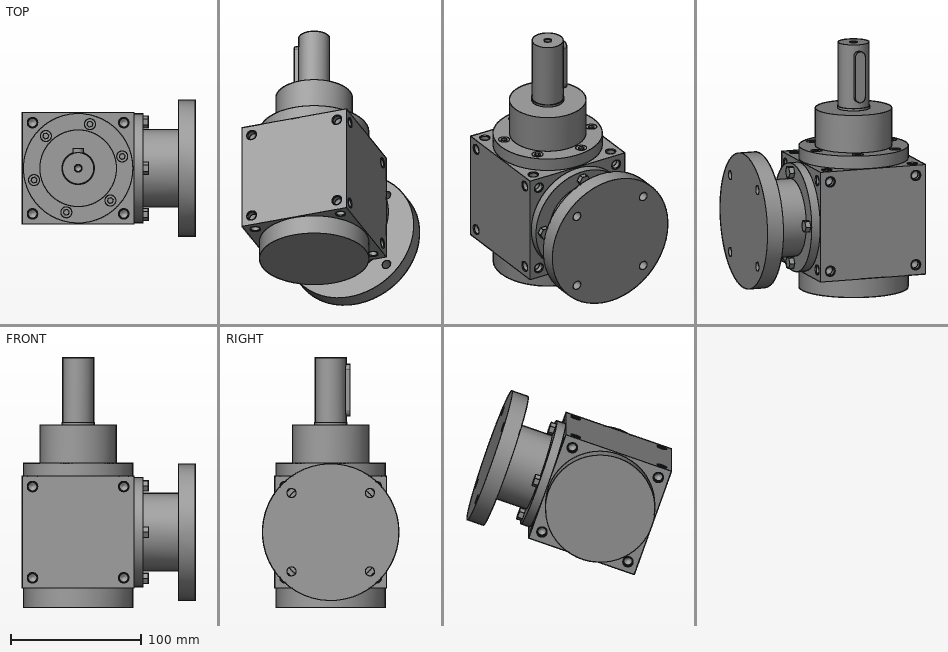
import cadquery as cq
import math


cube_side = 86.0
hole_pitch = 70.0
tapped_hole_diameter = 6.7
tapped_hole_depth = 4.6
countersink_diameter = 8.0
drill_point_angle = 118

cover_diameter = 84.0
bottom_cover_height = 15.0
top_cover_height = 10.0
top_boss_diameter = 59.0
top_boss_height = 29.4

shoulder_diameter = 25
shoulder_height = 1.7
shaft_diameter = 24.0
shaft_length = 50
centre_hole_diameter = 5.0
centre_hole_countersink = 6.0
centre_hole_depth = 10.0
key_width = 8.0
key_length = 40.0
key_reach = 15.0
key_end_gap = 5.0

side_cover_thickness = 7.0
neck_diameter = 60.0
neck_length = 27.0
flange_diameter = 105.0
flange_thickness = 13.0
flange_hole_diameter = 7.0
flange_hole_circle = 85.0
flange_hole_count = 4
flange_hole_first_angle = 45

bolt_circle = 71
bolt_count = 4
bolt_across_flats = 8.0
bolt_head_height = 4.0
screw_circle = 70.0
screw_count = 6
screw_first_angle = 15
screw_head_diameter = 8.5
screw_head_height = 5.0
socket_across_flats = 4.0
socket_depth = 2.9

cube_bottom = bottom_cover_height
cube_center = cube_bottom + cube_side / 2
cube_top = cube_bottom + cube_side
cover_top = cube_top + top_cover_height
boss_top = cover_top + top_boss_height
shoulder_top = boss_top + shoulder_height
shaft_top = shoulder_top + shaft_length
cube_face = cube_side / 2
side_cover_face = cube_face + side_cover_thickness
flange_face = side_cover_face + neck_length


def upright_cylinder(diameter, bottom, height):
    return cq.Workplane("XY", origin=(0, 0, bottom)).circle(diameter / 2).extrude(height)


def side_cylinder(diameter, start, length):
    return cq.Workplane("YZ", origin=(start, 0, cube_center)).circle(diameter / 2).extrude(length)


def hexagon_diameter(across_flats):
    """Corner-to-corner size of a hexagon."""
    return across_flats / math.cos(math.radians(30))


def drilled_hole(diameter, countersink, depth):
    """Cutter along -Z from the origin: 45 degree countersink, bore and conical drill point."""
    radius = diameter / 2
    rim_radius = countersink / 2
    point_depth = radius / math.tan(math.radians(drill_point_angle / 2))
    profile = [
        (0, 0),
        (rim_radius, 0),
        (radius, radius - rim_radius),
        (radius, -depth),
        (0, -depth - point_depth),
    ]
    return cq.Workplane("XZ").polyline(profile).close().revolve(360, (0, 0), (0, 1))


def tapped_holes():
    """Cutters for four corner holes in each of the six faces of the cube."""
    cutter = drilled_hole(tapped_hole_diameter, countersink_diameter, tapped_hole_depth)
    upper_holes = []
    for x in (-hole_pitch / 2, hole_pitch / 2):
        for y in (-hole_pitch / 2, hole_pitch / 2):
            upper_holes.append(cutter.translate((x, y, cube_face)))
    turns = [((1, 0, 0), angle) for angle in (0, 90, 180, 270)]
    turns += [((0, 1, 0), angle) for angle in (90, 270)]
    holes = []
    for axis, angle in turns:
        for hole in upper_holes:
            holes.append(hole.rotate((0, 0, 0), axis, angle).translate((0, 0, cube_center)))
    return holes


def make_shaft():
    """Shaft with its shoulder, the key on its +Y side and a centre hole in its end."""
    shaft = upright_cylinder(shaft_diameter, shoulder_top, shaft_length)
    shaft = shaft.union(upright_cylinder(shoulder_diameter, boss_top, shoulder_height))
    key = (
        cq.Workplane("XZ", origin=(0, 0, shaft_top - key_end_gap - key_length / 2))
        .slot2D(key_length, key_width, 90)
        .extrude(-key_reach)
    )
    centre_hole = drilled_hole(centre_hole_diameter, centre_hole_countersink, centre_hole_depth)
    return shaft.union(key).cut(centre_hole.translate((0, 0, shaft_top)))


def make_side_neck():
    """Side cover with its hexagon bolt heads, the neck and the drilled mounting flange."""
    neck = side_cylinder(cover_diameter, cube_face, side_cover_thickness)
    neck = neck.union(side_cylinder(neck_diameter, side_cover_face, neck_length))
    flange = side_cylinder(flange_diameter, flange_face, flange_thickness)
    flange_holes = (
        cq.Workplane("YZ", origin=(flange_face, 0, cube_center))
        .polarArray(flange_hole_circle / 2, flange_hole_first_angle, 360, flange_hole_count)
        .circle(flange_hole_diameter / 2)
        .extrude(flange_thickness)
    )
    bolt_heads = (
        cq.Workplane("YZ", origin=(side_cover_face, 0, cube_center))
        .polarArray(bolt_circle / 2, 0, 360, bolt_count, rotate=False)
        .polygon(6, hexagon_diameter(bolt_across_flats))
        .extrude(bolt_head_height)
    )
    return neck.union(flange.cut(flange_holes)).union(bolt_heads)


def screw_places():
    """Centres (x, y) of the screws in the top cover."""
    places = []
    for index in range(screw_count):
        angle = math.radians(screw_first_angle + index * 360 / screw_count)
        places.append((screw_circle / 2 * math.cos(angle), screw_circle / 2 * math.sin(angle)))
    return places


def make_screw_blank(x, y):
    """Screw head without its socket; also the shape of the recess that holds it."""
    head = upright_cylinder(screw_head_diameter, cover_top - screw_head_height, screw_head_height)
    return head.translate((x, y, 0))


def make_cover_screw(x, y):
    """Socket screw head, flush with the top cover."""
    socket = (
        cq.Workplane("XY", origin=(0, 0, cover_top))
        .polygon(6, hexagon_diameter(socket_across_flats))
        .extrude(-socket_depth)
        .rotate((0, 0, 0), (0, 0, 1), screw_first_angle)
    )
    return make_screw_blank(x, y).cut(socket.translate((x, y, 0)))


def make_gearbox():
    """Cube, covers, shaft and side neck in one solid, with recesses for the cover screws."""
    gearbox = cq.Workplane("XY", origin=(0, 0, cube_center)).box(cube_side, cube_side, cube_side)
    for hole in tapped_holes():
        gearbox = gearbox.cut(hole)
    gearbox = gearbox.union(upright_cylinder(cover_diameter, 0, bottom_cover_height))
    gearbox = gearbox.union(upright_cylinder(cover_diameter, cube_top, top_cover_height))
    gearbox = gearbox.union(upright_cylinder(top_boss_diameter, cover_top, top_boss_height))
    gearbox = gearbox.union(make_shaft()).union(make_side_neck())
    for x, y in screw_places():
        gearbox = gearbox.cut(make_screw_blank(x, y))
    return gearbox


gearbox = make_gearbox()
cover_screws = [make_cover_screw(x, y) for x, y in screw_places()]

result = cq.Compound.makeCompound([gearbox.val(), *[screw.val() for screw in cover_screws]])